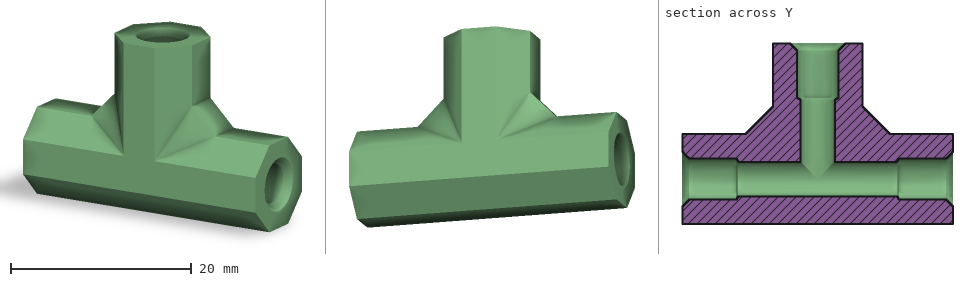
import cadquery as cq
import math

run_length = 30.0
bar_width = run_length / 3
corner_cut = 3.0
half_run = run_length / 2
branch_height = half_run

gusset_leg = 3.0

bore_radius = 3.75 / 2
socket_radius = 4.5 / 2
mouth_radius = 6.1 / 2
mouth_depth = mouth_radius - socket_radius
socket_depth = 6.0
socket_tip_angle = 118.0
tip_depth = (socket_radius - bore_radius) / math.tan(math.radians(socket_tip_angle / 2))

half_width = bar_width / 2
half_flat = half_width - corner_cut


def make_run():
    run = cq.Workplane("XY").box(run_length, bar_width, bar_width)
    return run.edges("|X").chamfer(corner_cut)


def make_branch():
    """Octagonal branch, rising from the run axis."""
    branch = cq.Workplane("XY").rect(bar_width, bar_width).extrude(branch_height)
    return branch.edges("|Z").chamfer(corner_cut)


def make_gusset():
    """Trapezoidal prism lying at 45 degrees in the inner corner on the -X side."""
    slope_length = gusset_leg * math.sqrt(2)
    depth = (2 * corner_cut + gusset_leg) / math.sqrt(2)
    slope_plane = cq.Plane(
        origin=(-half_width - gusset_leg, 0, half_width),
        xDir=(0, 1, 0),
        normal=(1, 0, 1),
    )
    outline = [
        (-half_flat, 0),
        (half_flat, 0),
        (half_width, -depth),
        (-half_width, -depth),
    ]
    return cq.Workplane(slope_plane).polyline(outline).close().extrude(slope_length)


def make_port(end, inward):
    """Revolved cutter for one arm, from its end face to the centre of the part."""
    across = cq.Vector(0, 1, 0)
    plane = cq.Plane(origin=end, xDir=across, normal=across.cross(cq.Vector(*inward)))
    outline = [
        (0, 0),
        (mouth_radius, 0),
        (socket_radius, mouth_depth),
        (socket_radius, socket_depth),
        (bore_radius, socket_depth + tip_depth),
        (bore_radius, half_run),
        (0, half_run),
    ]
    return cq.Workplane(plane).polyline(outline).close().revolve(360, (0, 0), (0, 1))


gusset = make_gusset()
body = make_run().union(make_branch())
body = body.union(gusset).union(gusset.mirror("YZ"))

ports = [
    ((-half_run, 0, 0), (1, 0, 0)),
    ((half_run, 0, 0), (-1, 0, 0)),
    ((0, 0, branch_height), (0, 0, -1)),
]
for end, inward in ports:
    body = body.cut(make_port(end, inward))

result = body